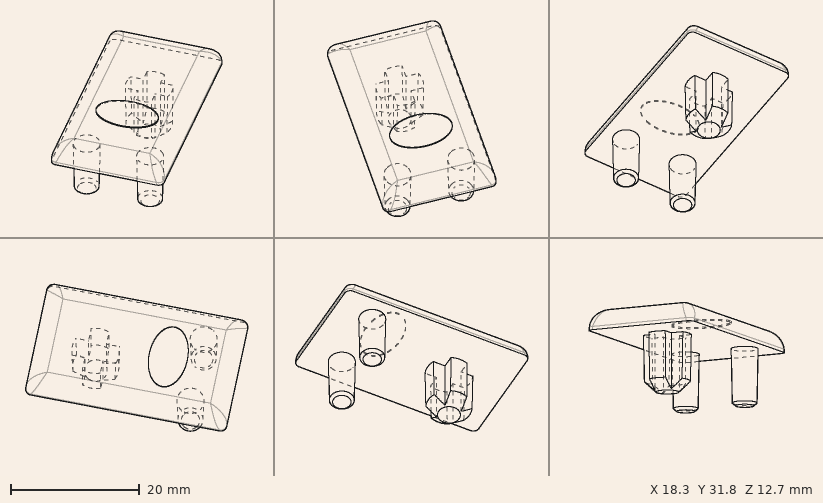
import cadquery as cq

plate_width = 18.3
plate_length = 31.8
skirt_height = 0.5
edge_radius = 3.0
plate_height = skirt_height + edge_radius
corner_radius = 0.95

pad_length = 10.0
pad_width = 6.0
pad_height = 0.2
pad_y = -5.0

peg_depth = 9.0
pin_x = 5.15
pin_y = -9.55
pin_root_radius = 2.1
pin_end_radius = 1.95
pin_chamfer_height = 0.45
pin_chamfer_inset = 0.5

cross_y = 6.5
cross_root_radius = 3.72
cross_end_radius = 3.6
cross_arm_width = 2.83
cross_chamfer_height = 1.7
cross_chamfer_inset = 1.8


def make_plate():
    """Rounded block with a full-height fillet above a short vertical skirt."""
    block = cq.Workplane("XY").box(plate_width, plate_length, plate_height, centered=(True, True, False))
    return block.edges("|Z").fillet(corner_radius).faces(">Z").edges().fillet(edge_radius)


def make_pad():
    """Oval pad standing on the flat top face."""
    outline = cq.Workplane("XY", origin=(0, pad_y, plate_height)).ellipse(pad_length / 2, pad_width / 2)
    return outline.extrude(pad_height)


def tapered_peg(x, y, root_radius, end_radius, chamfer_height, chamfer_inset):
    """Round peg hanging from the underside, tapered and chamfered at its free end."""
    profile = (
        cq.Workplane("XZ")
        .lineTo(root_radius, 0)
        .lineTo(end_radius, chamfer_height - peg_depth)
        .lineTo(end_radius - chamfer_inset, -peg_depth)
        .lineTo(0, -peg_depth)
        .close()
    )
    return profile.revolve(360, (0, 0), (0, 1)).translate((x, y, 0))


def make_cross_peg():
    """Round peg reduced to two crossing arms."""
    peg = tapered_peg(
        0, cross_y, cross_root_radius, cross_end_radius, cross_chamfer_height, cross_chamfer_inset
    )
    arm_length = 2 * cross_root_radius
    arms = (
        cq.Workplane("XY", origin=(0, cross_y, 0))
        .rect(arm_length, cross_arm_width)
        .extrude(-peg_depth)
        .union(
            cq.Workplane("XY", origin=(0, cross_y, 0))
            .rect(cross_arm_width, arm_length)
            .extrude(-peg_depth)
        )
    )
    return peg.intersect(arms)


result = make_plate().union(make_pad()).union(make_cross_peg())
for side in (-1, 1):
    pin = tapered_peg(
        side * pin_x, pin_y, pin_root_radius, pin_end_radius, pin_chamfer_height, pin_chamfer_inset
    )
    result = result.union(pin)